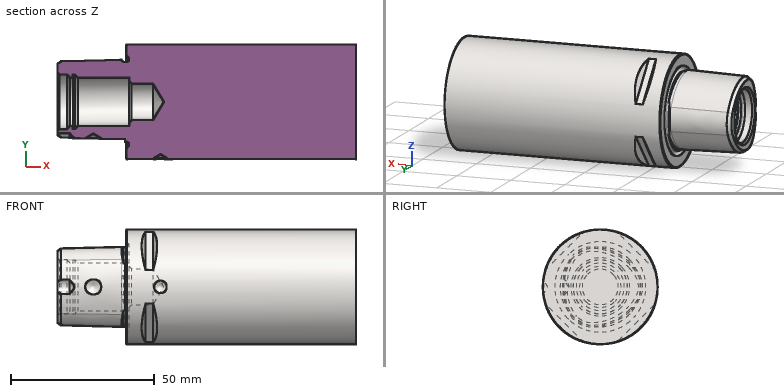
import cadquery as cq
import math

total_length = 104.0
body_diameter = 40.0
body_radius = body_diameter / 2
shank_length = 23.9
body_edge_chamfer = 0.3

polygon_end = 22.3
lobe_reach = 14.8
flat_reach = 13.1
lobe_radius = 8.6
taper_angle = math.degrees(math.atan(1 / 40))
tip_chamfer_length = 1.4
tip_chamfer_depth = 0.9
lobe_count = 3

neck_radius = 13.9
straight_length = 1.2
neck_start = polygon_end + straight_length
groove_outer_radius = 15.8

mouth_radius = 10.2
seat_radius = 9.5
seat_depth = 3.3
shoulder_radius = 8.8
main_radius = 8.3
main_start = 4.4
undercut_radius = 9.4
undercut_start = 5.4
undercut_end = 7.2
main_depth = 25.0
throat_radius = 7.2
end_drill_radius = 6.2
end_drill_depth = 33.3
drill_tip_angle = 118.0

notch_radius = 2.8
notch_axis_offset = 13.7
notch_depth = 4.2
notch_tip_angle = 90.0
shank_hole_position = 12.5
shank_hole_radius = 2.8
shank_hole_floor = 12.8
body_hole_position = 35.9
body_hole_radius = 2.2
body_hole_depth = 0.4

slot_position = 32.0
slot_floor_width = 2.6
slot_mouth_width = 5.4
slot_floor_distance = 17.7
slot_count = 4


def drill_tip_length(radius, tip_angle=drill_tip_angle):
    return radius / math.tan(math.radians(tip_angle / 2))


def polar(radius, angle):
    return (radius * math.cos(angle), radius * math.sin(angle))


def revolved(profile):
    """Turn a closed (X, radius) profile about the X axis."""
    return profile.close().revolve(360, (0, 0, 0), (1, 0, 0))


def polygon_outline():
    """Lobed outline of tangent arcs at the wide end of the shank."""
    lobe_centre = lobe_reach - lobe_radius
    gap = flat_reach - lobe_radius
    flat_centre = (lobe_centre**2 - gap**2) / (2 * gap - lobe_centre)
    flat_radius = flat_reach + flat_centre
    half_pitch = math.pi / lobe_count
    flat_x, flat_y = polar(-flat_centre, half_pitch)
    normal_angle = math.atan2(-flat_y, lobe_centre - flat_x)
    joint_x = flat_x + flat_radius * math.cos(normal_angle)
    joint_y = flat_y + flat_radius * math.sin(normal_angle)
    joint_distance = math.hypot(joint_x, joint_y)
    joint_angle = math.atan2(joint_y, joint_x)

    outline = cq.Workplane("YZ", origin=(polygon_end, 0, 0)).moveTo(*polar(joint_distance, -joint_angle))
    for lobe in range(lobe_count):
        lobe_angle = 2 * half_pitch * lobe
        next_joint = lobe_angle + 2 * half_pitch - joint_angle
        outline = outline.threePointArc(
            polar(lobe_reach, lobe_angle), polar(joint_distance, lobe_angle + joint_angle)
        )
        outline = outline.threePointArc(
            polar(flat_reach, lobe_angle + half_pitch), polar(joint_distance, next_joint)
        )
    return outline.close()


def shank():
    """Tapered polygon, chamfered at the tip."""
    polygon = polygon_outline().extrude(-polygon_end, taper=taper_angle)
    return polygon.faces("<X").chamfer(tip_chamfer_length, tip_chamfer_depth)


def lobe_slopes():
    """Short straight polygon whose lobes slope down at 45 degrees to the round neck."""
    straight = polygon_outline().extrude(straight_length)
    slope_end = polygon_end + lobe_reach - neck_radius
    slope_limit = revolved(
        cq.Workplane("XY")
        .moveTo(polygon_end, 0)
        .lineTo(polygon_end, lobe_reach)
        .lineTo(slope_end, neck_radius)
        .lineTo(neck_start, neck_radius)
        .lineTo(neck_start, 0)
    )
    return straight.intersect(slope_limit)


def body():
    """Cylindrical body with its neck and a half-round groove in the body face around the neck."""
    groove_depth = (groove_outer_radius - neck_radius) / 2
    groove_bottom = (shank_length + groove_depth, neck_radius + groove_depth)
    return revolved(
        cq.Workplane("XY")
        .moveTo(neck_start, 0)
        .lineTo(neck_start, neck_radius)
        .lineTo(shank_length, neck_radius)
        .threePointArc(groove_bottom, (shank_length, groove_outer_radius))
        .lineTo(shank_length, body_radius - body_edge_chamfer)
        .lineTo(shank_length + body_edge_chamfer, body_radius)
        .lineTo(total_length, body_radius)
        .lineTo(total_length, 0)
    )


def bore():
    """Chamfered seat, main bore with an undercut groove, and a blind drilled end."""
    return revolved(
        cq.Workplane("XY")
        .lineTo(0, mouth_radius)
        .lineTo(mouth_radius - seat_radius, seat_radius)
        .lineTo(seat_depth, seat_radius)
        .lineTo(seat_depth + seat_radius - shoulder_radius, shoulder_radius)
        .lineTo(main_start, main_radius)
        .lineTo(undercut_start, main_radius)
        .lineTo(undercut_start, undercut_radius)
        .lineTo(undercut_end - undercut_radius + main_radius, undercut_radius)
        .lineTo(undercut_end, main_radius)
        .lineTo(main_depth, main_radius)
        .lineTo(main_depth, throat_radius)
        .lineTo(main_depth + throat_radius - end_drill_radius, end_drill_radius)
        .lineTo(end_drill_depth, end_drill_radius)
        .lineTo(end_drill_depth + drill_tip_length(end_drill_radius), 0)
    )


def drill(radius, depth, tip_angle=drill_tip_angle):
    """Cylinder with a conical end, running from the origin along +X."""
    return revolved(
        cq.Workplane("XY")
        .lineTo(0, radius)
        .lineTo(depth, radius)
        .lineTo(depth + drill_tip_length(radius, tip_angle), 0)
    )


def side_drill(position, radius, floor_distance):
    """Drill entering from the -Y side and ending its straight part at floor_distance from the axis."""
    tool = drill(radius, body_radius - floor_distance)
    return tool.rotate((0, 0, 0), (0, 0, 1), 90).translate((position, -body_radius, 0))


def gripper_slot(angle):
    """Straight slot with sloped sides, cut across the body at the given angle from +Y."""
    depth = body_radius - slot_floor_distance
    slope = (slot_mouth_width - slot_floor_width) / 2 / depth
    top_half_width = slot_floor_width / 2 + slope * 2 * depth
    tool = (
        cq.Workplane("XY")
        .moveTo(slot_position - slot_floor_width / 2, slot_floor_distance)
        .lineTo(slot_position + slot_floor_width / 2, slot_floor_distance)
        .lineTo(slot_position + top_half_width, slot_floor_distance + 2 * depth)
        .lineTo(slot_position - top_half_width, slot_floor_distance + 2 * depth)
        .close()
        .extrude(body_radius, both=True)
    )
    return tool.rotate((0, 0, 0), (1, 0, 0), angle)


result = body().union(lobe_slopes()).union(shank())
result = result.cut(bore())
notch = drill(notch_radius, notch_depth, notch_tip_angle).rotate((0, 0, 0), (1, 0, 0), 180)
notch = notch.translate((0, -notch_axis_offset, 0))
result = result.cut(notch)
result = result.cut(side_drill(shank_hole_position, shank_hole_radius, shank_hole_floor))
result = result.cut(side_drill(body_hole_position, body_hole_radius, body_radius - body_hole_depth))
for slot in range(slot_count):
    result = result.cut(gripper_slot(360 / slot_count * (slot + 0.5)))